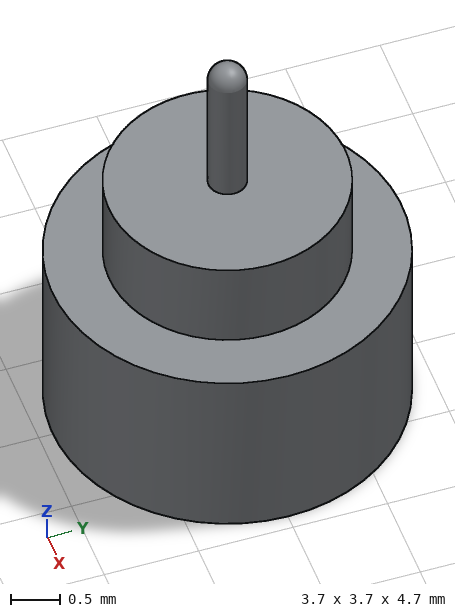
import cadquery as cq

total_height = 4.7
body_diameter = 3.7
body_height = 2.04
collar_diameter = 2.5
collar_height = 1.01
bead_diameter = 1.95
pin_diameter = 0.4
tip_height = 0.18

collar_top = body_height + collar_height
pin_radius = pin_diameter / 2
pin_shoulder = total_height - tip_height
tip_radius = (pin_radius**2 + tip_height**2) / (2 * tip_height)


def cylinder(diameter, bottom, top):
    """Upright cylinder on the Z axis between two heights."""
    return cq.Workplane("XY").workplane(offset=bottom).circle(diameter / 2).extrude(top - bottom)


def make_shell():
    """Wide body and narrower collar, with a bore through the collar for the bead."""
    body = cylinder(body_diameter, 0, body_height)
    collar = cylinder(collar_diameter, body_height, collar_top)
    return body.union(collar).cut(cylinder(bead_diameter, body_height, collar_top))


def make_bead():
    """Insulating bead that fills the collar, flush with its top."""
    return cylinder(bead_diameter, body_height, collar_top)


def make_pin():
    """Contact pin standing on the bead, with a spherical cap as its tip."""
    profile = (
        cq.Workplane("XZ")
        .moveTo(0, collar_top)
        .lineTo(pin_radius, collar_top)
        .lineTo(pin_radius, pin_shoulder)
        .radiusArc((0, total_height), -tip_radius)
        .close()
    )
    return profile.revolve(360, (0, 0, 0), (0, 1, 0))


housing = make_shell().union(make_bead(), clean=False)
result = housing.union(make_pin(), clean=False).solids()